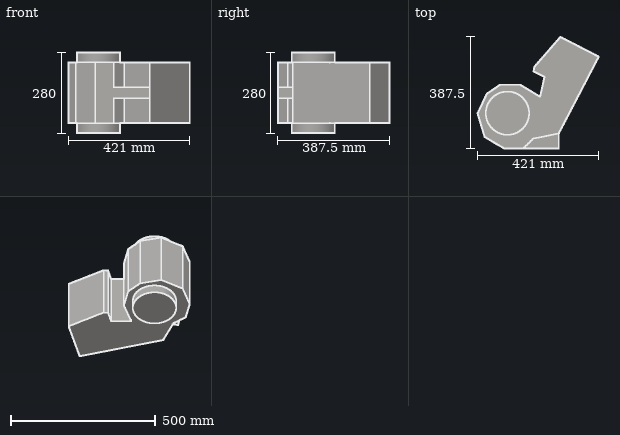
import cadquery as cq

body_height = 211.5
pin_length = 280.0
pin_diameter = 150.3
tab_thickness = 38.7

left_x = -104.0
right_x = left_x + 421
top_y = 264.7
bottom_y = top_y - 387.5
shoulder_y = 99.0
heel_x = 178.0
heel_y = -70.5
web_start = (54.0, bottom_y)
web_inner = (89.5, -88.0)
heel = (heel_x, heel_y)


def centred_plate(points, thickness):
    """Extrude a closed outline equally above and below Z = 0."""
    return cq.Workplane("XY").polyline(points).close().extrude(thickness / 2, both=True)


body_outline = [
    (left_x, -1.0),
    (-72.0, 67.5),
    (-25.5, shoulder_y),
    (44.0, shoulder_y),
    (113.0, 57.5),
    (128.0, 126.0),
    (90.0, 145.0),
    (92.5, 160.5),
    (183.5, top_y),
    (right_x, 196.0),
    heel,
    web_inner,
    web_start,
    (-11.0, bottom_y),
    (-79.5, -82.5),
]
body = centred_plate(body_outline, body_height)

tab = centred_plate([web_start, (heel_x, bottom_y), heel, web_inner], tab_thickness)

pin = cq.Workplane("XY").circle(pin_diameter / 2).extrude(pin_length / 2, both=True)

result = body.union(tab).union(pin)